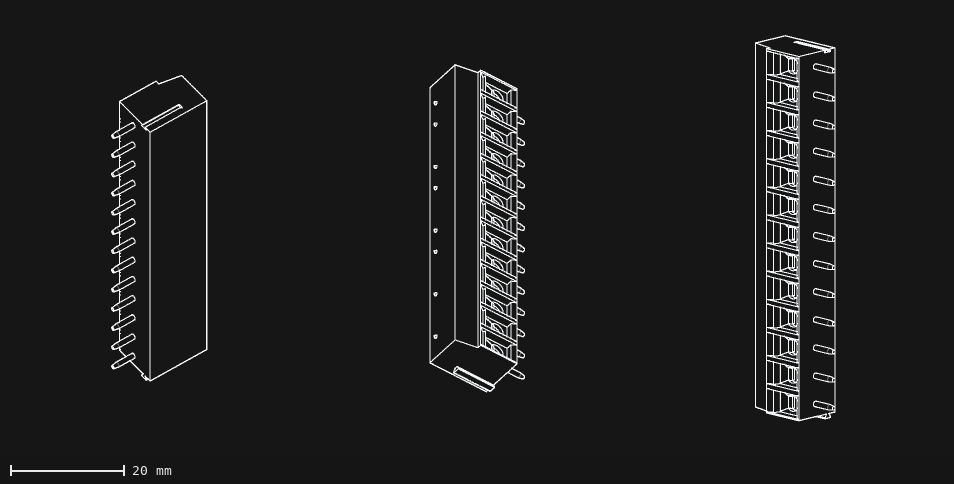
import cadquery as cq


pole_count = 13
pole_span = 61.05
bottom_pole_z = 2.35
pole_pitch = pole_span / (pole_count - 1)
body_width = 9.0
body_depth = 12.4
body_height = 65.9
step_y = 8.0
ledge_width = 0.8
slope_top_x = 1.6

pin_x = 4.15
pin_diameter = 1.0
pin_length = 4.55
pin_taper_length = 1.0
pin_tip_diameter = 0.7

rail_x = 7.2
rail_neck_width = 0.7
rail_wide_width = 1.35
rail_flare_height = 0.6
rail_lip_height = 0.2
groove_flare_height = 0.3

pocket_height = 4.2
pocket_floor_x = 1.7
lip_y = 0.95
lip_depth = 0.55
valley_x = 0.9
valley_y = 6.9
ridge_x = 0.35
ridge_y = 6.7
floor_end_y = 6.35

hole_y = 3.3
hole_diameter = 2.95
hole_depth = 0.8
guide_depth = 0.1
guide_wide = 4.1
guide_narrow = 2.2
guide_end_y = 4.3
ramp_end_y = 3.6

stud_x = 7.2
stud_diameter = 0.7
stud_tip_diameter = 0.35
stud_height = 0.35
stud_gaps = (0, 1, 3, 4, 6, 7, 9, 11)

top_pole_z = bottom_pole_z + pole_span
pole_heights = [top_pole_z - i * pole_pitch for i in range(pole_count)]


def prism(points, height, center_z):
    """Extrude an XY outline along Z, centred on center_z."""
    bottom = cq.Workplane("XY").workplane(offset=center_z - height / 2)
    return bottom.polyline(points).close().extrude(height)


def make_housing():
    outline = [
        (0, 0),
        (body_width, 0),
        (body_width, body_depth),
        (slope_top_x, body_depth),
        (ledge_width, step_y),
        (0, step_y),
    ]
    return prism(outline, body_height, body_height / 2)


def make_dovetail(top_z, flare_height):
    """Rail that widens downward from top_z and ends in a straight lip."""
    flare_z = top_z - flare_height
    base_z = flare_z - rail_lip_height
    half_neck = rail_neck_width / 2
    half_wide = rail_wide_width / 2
    outline = [
        (rail_x - half_neck, top_z),
        (rail_x - half_wide, flare_z),
        (rail_x - half_wide, base_z),
        (rail_x + half_wide, base_z),
        (rail_x + half_wide, flare_z),
        (rail_x + half_neck, top_z),
    ]
    return cq.Workplane("XZ").polyline(outline).close().extrude(-step_y)


def block_below_guide(length_y, width_z, center_z):
    """Block as deep as the hole, reaching from the guide's narrow end toward -Y."""
    block = cq.Workplane("XY").box(hole_depth, length_y, width_z, centered=(False, False, True))
    return block.translate((pocket_floor_x, guide_end_y - length_y, center_z))


def make_hole(center_z):
    """Blind round hole whose ledge side keeps a rounded ramp."""
    hole = (
        cq.Workplane("YZ", origin=(pocket_floor_x, 0, 0))
        .center(hole_y, center_z)
        .circle(hole_diameter / 2)
        .extrude(hole_depth)
    )
    open_side = block_below_guide(hole_diameter, hole_diameter, center_z)
    ramp_block = block_below_guide(guide_end_y - ramp_end_y, guide_narrow, center_z)
    rounding_start = (pocket_floor_x + hole_depth, guide_end_y, center_z - guide_narrow / 2)
    rounding = cq.Workplane("XY", origin=rounding_start).circle(hole_depth).extrude(guide_narrow)
    return hole.intersect(open_side).cut(ramp_block.intersect(rounding))


def make_guide(center_z):
    """Shallow recess narrowing from the pocket end to the hole."""
    half_wide = guide_wide / 2
    half_narrow = guide_narrow / 2
    outline = [
        (floor_end_y, center_z - half_wide),
        (floor_end_y, center_z + half_wide),
        (guide_end_y, center_z + half_narrow),
        (guide_end_y, center_z - half_narrow),
    ]
    plane = cq.Workplane("YZ", origin=(pocket_floor_x, 0, 0))
    return plane.polyline(outline).close().extrude(guide_depth)


def make_pocket(center_z):
    outline = [
        (0, 0),
        (lip_depth, lip_y),
        (pocket_floor_x, lip_y),
        (pocket_floor_x, floor_end_y),
        (ridge_x, ridge_y),
        (valley_x, valley_y),
        (0, step_y),
    ]
    pocket = prism(outline, pocket_height, center_z)
    return pocket.union(make_guide(center_z)).union(make_hole(center_z))


def make_pin(center_z):
    straight_length = pin_length - pin_taper_length
    outline = [
        (0, 0),
        (-pin_diameter / 2, 0),
        (-pin_diameter / 2, -straight_length),
        (-pin_tip_diameter / 2, -pin_length),
        (0, -pin_length),
    ]
    pin = cq.Workplane("XY").polyline(outline).close().revolve(360, (0, 0, 0), (0, 1, 0))
    return pin.translate((pin_x, 0, center_z))


def make_stud(center_z):
    base = cq.Workplane("XZ", origin=(stud_x, body_depth, center_z)).circle(stud_diameter / 2)
    return base.workplane(offset=-stud_height).circle(stud_tip_diameter / 2).loft()


result = make_housing()
result = result.union(make_dovetail(0, rail_flare_height))
result = result.cut(make_dovetail(body_height, groove_flare_height))

for pole_z in pole_heights:
    result = result.cut(make_pocket(pole_z))
    result = result.union(make_pin(pole_z))

for gap in stud_gaps:
    result = result.union(make_stud(pole_heights[gap] - pole_pitch / 2))